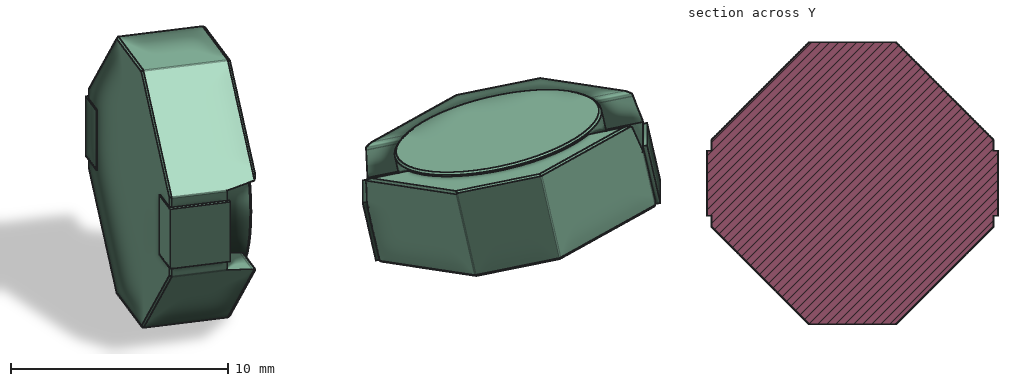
import cadquery as cq
import math


total_height = 4.5
terminal_span = 13.4

housing_width = 13.0
corner_cut = 4.5
foot_standoff = 0.05
housing_top = 4.32
side_edge_radius = 0.1
bottom_edge_chamfer = 0.09
top_chamfer_height = 0.13
top_chamfer_inset = 0.08
flat_half_width = housing_width / 2 - corner_cut

core_radius = 4.88
core_edge_chamfer = 0.1

window_floor = 2.8
window_flare = 0.21
window_mouth_radius = 0.25

terminal_width = 3.0
terminal_height = 2.9
terminal_thickness = 0.2
foot_length = 1.7


def plane_at(height):
    """Plane normal to the part axis, with local x along X and local y along Z."""
    return cq.Plane(origin=(0, height, 0), xDir=(1, 0, 0), normal=(0, -1, 0))


def make_housing():
    """Octagonal block with softened edges."""
    height = housing_top - foot_standoff
    return (
        cq.Workplane(plane_at(foot_standoff))
        .rect(housing_width, housing_width)
        .extrude(-height)
        .edges("|Y")
        .chamfer(corner_cut)
        .faces("<Y")
        .edges()
        .chamfer(bottom_edge_chamfer)
        .faces(">Y")
        .edges()
        .chamfer(top_chamfer_inset, top_chamfer_height)
        .edges("|Y")
        .fillet(side_edge_radius)
    )


def make_core():
    """Round core whose chamfered end stands above the housing."""
    height = total_height - window_floor
    return (
        cq.Workplane(plane_at(window_floor))
        .circle(core_radius)
        .extrude(-height)
        .faces(">Y")
        .edges()
        .chamfer(core_edge_chamfer)
    )


def make_window_cutter():
    """Flared slot along X with a rounded mouth, cutting both sides of the housing."""
    mouth_half_width = flat_half_width + window_flare
    mouth_start = housing_top - window_mouth_radius
    rim_half_width = mouth_half_width + window_mouth_radius
    arc_offset = window_mouth_radius * math.sqrt(0.5)
    arc_mid_height = mouth_start + arc_offset
    arc_mid_half_width = rim_half_width - arc_offset
    slot_plane = cq.Plane(origin=(0, 0, 0), xDir=(0, 1, 0), normal=(1, 0, 0))
    return (
        cq.Workplane(slot_plane)
        .moveTo(window_floor, -flat_half_width)
        .lineTo(window_floor, flat_half_width)
        .lineTo(mouth_start, mouth_half_width)
        .threePointArc((arc_mid_height, arc_mid_half_width), (housing_top, rim_half_width))
        .lineTo(housing_top, -rim_half_width)
        .threePointArc((arc_mid_height, -arc_mid_half_width), (mouth_start, -mouth_half_width))
        .close()
        .extrude(housing_width / 2, both=True)
    )


def make_terminal(side):
    """L-shaped terminal on the X side given by the sign: an upright and a partly sunk foot."""
    outer_x = side * terminal_span / 2
    inner_x = outer_x - side * terminal_thickness
    foot_end_x = outer_x - side * foot_length
    return (
        cq.Workplane("XY")
        .moveTo(outer_x, 0)
        .lineTo(outer_x, terminal_height)
        .lineTo(inner_x, terminal_height)
        .lineTo(inner_x, terminal_thickness)
        .lineTo(foot_end_x, terminal_thickness)
        .lineTo(foot_end_x, 0)
        .close()
        .extrude(terminal_width / 2, both=True)
    )


result = make_housing().cut(make_window_cutter()).union(make_core())
for side in (-1, 1):
    result = result.union(make_terminal(side))